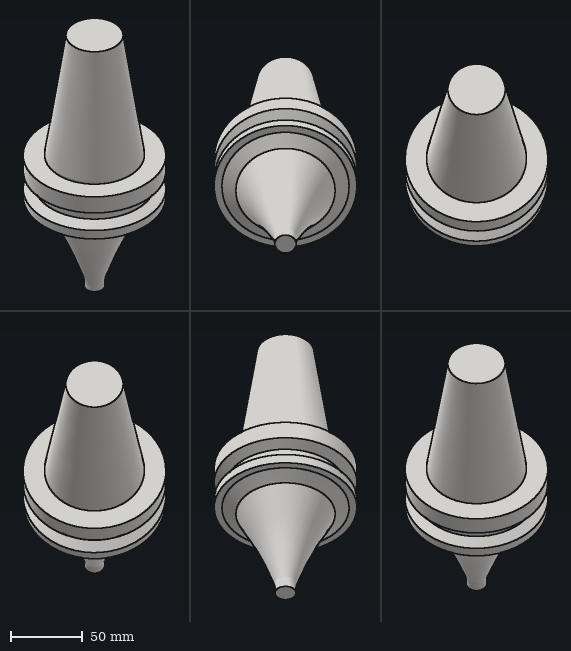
import cadquery as cq
import math

total_length = 216.8

taper_length = 102.0
gauge_diameter = 69.8
taper_ratio = 7 / 24
taper_small_diameter = gauge_diameter - taper_length * taper_ratio

flange_diameter = 100.0
flange_top = -1.7
flange_thickness = 36.5
upper_land_height = 13.9
groove_diameter = 85.0
groove_floor_height = 6.5
cone_angle = math.radians(30)
groove_side_height = (flange_diameter - groove_diameter) / 2 * math.tan(cone_angle)

upper_land_bottom = flange_top - upper_land_height
groove_floor_top = upper_land_bottom - groove_side_height
groove_floor_bottom = groove_floor_top - groove_floor_height
lower_land_top = groove_floor_bottom - groove_side_height
flange_bottom = flange_top - flange_thickness

collar_height = 5.6
collar_bottom_diameter = 69.4
collar_top_diameter = collar_bottom_diameter + 2 * collar_height / math.tan(cone_angle)
collar_bottom = flange_bottom - collar_height

sweep_middle_drop = 27.3
sweep_middle_diameter = 42.5
sweep_middle = collar_bottom - sweep_middle_drop

tip_diameter = 15.0
tip_height = 5.2
neck_top_diameter = 15.8
neck_height = 3.3
tip_bottom = taper_length - total_length
tip_top = tip_bottom + tip_height
neck_top = tip_top + neck_height


def rim(diameter, z):
    """Profile point at the given diameter and height."""
    return (diameter / 2, z)


profile = (
    cq.Workplane("XZ")
    .moveTo(0, taper_length)
    .lineTo(*rim(taper_small_diameter, taper_length))
    .lineTo(*rim(gauge_diameter, 0))
    .lineTo(*rim(gauge_diameter, flange_top))
    .lineTo(*rim(flange_diameter, flange_top))
    .lineTo(*rim(flange_diameter, upper_land_bottom))
    .lineTo(*rim(groove_diameter, groove_floor_top))
    .lineTo(*rim(groove_diameter, groove_floor_bottom))
    .lineTo(*rim(flange_diameter, lower_land_top))
    .lineTo(*rim(flange_diameter, flange_bottom))
    .lineTo(*rim(collar_top_diameter, flange_bottom))
    .lineTo(*rim(collar_bottom_diameter, collar_bottom))
    .threePointArc(rim(sweep_middle_diameter, sweep_middle), rim(neck_top_diameter, neck_top))
    .lineTo(*rim(tip_diameter, tip_top))
    .lineTo(*rim(tip_diameter, tip_bottom))
    .lineTo(0, tip_bottom)
    .close()
)

result = profile.revolve(360, (0, 0, 0), (0, 1, 0))